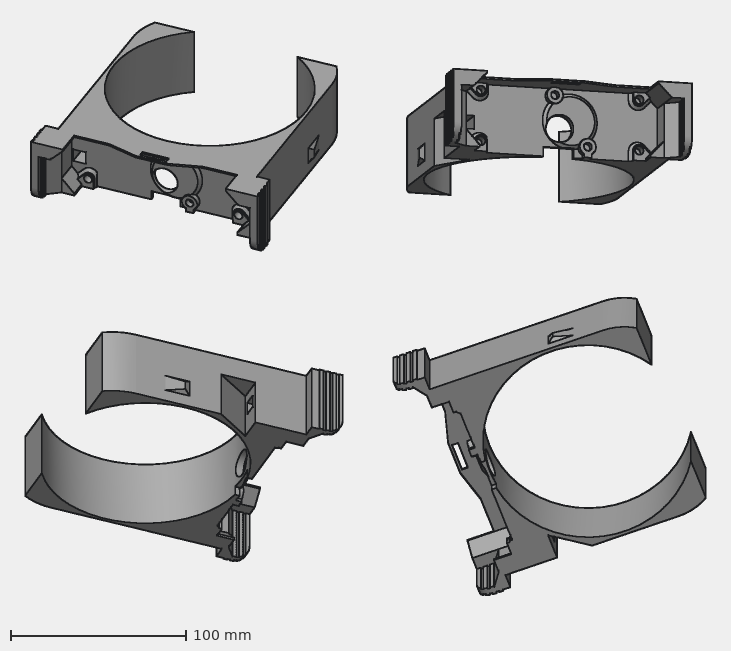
import cadquery as cq
import math

LENGTH = 143.1
HEIGHT = 41.0
BODY_HALF_WIDTH = 62.0
BODY_FRONT_Y = 16.2
TAIL_ARC_START_Y = 124.5
TAIL_HALF_WIDTH = 56.7

BORE_RADIUS = 60.0
BORE_CENTER_Y = 92.5

LIP_THICKNESS = 1.1
CAVITY_HALF_WIDTH = 58.7
CAVITY_BACK_Y = 30.3
CORNER_HALF_WIDTH = 50.8
UPPER_CORNER_Z = 31.9
LOWER_CORNER_Z = 9.7
GUSSET_EDGE_HEIGHT = 1.5
CAVITY_TOP_Z = HEIGHT - LIP_THICKNESS

FOOT_BACK_Y = 19.0
FOOT_OUTER_X = 70.0
FOOT_INNER_X = 66.7
FOOT_SLANT_END_Y = 10.5
FOOT_NOSE_RADIUS = 9.7
RIB_HEIGHT = 0.7
FOOT_TIP_X = FOOT_OUTER_X + RIB_HEIGHT
RIB_WIDTH = 2.5
RIB_PITCH = 4.0
OUTER_RIB_COUNT = 4
INNER_RIB_COUNT = 3

BULGE_FRONT_Y = 10.9
BULGE_ROOT_HALF_WIDTH = 29.2
BULGE_TIP_HALF_WIDTH = 10.0
LIP_SLOT_HALF_WIDTH = 8.2
LIP_SLOT_FRONT_Y = 12.6

DISK_X = 6.7
DISK_Z = 21.0
DISK_RADIUS = 16.2
DISK_HEIGHT = 2.0
LENS_HOLE_DIAMETER = 16.0
LENS_HOLE_X = 0.3
LENS_HOLE_Z = 16.5
NOTCH_HALF_WIDTH = 9.0
NOTCH_HEIGHT = 5.6

BOSS_HEIGHT = 3.6
CORNER_BOSS_X = 47.0
CORNER_BOSS_LOW_Z = 6.0
CORNER_BOSS_HIGH_Z = 35.6
CORNER_BOSS_RADIUS = 5.5
BOSS_FOOT_HEIGHT = 2.0
BOSS_TRIM_OFFSET = 4.3
CORNER_HOLE_DIAMETER = 5.0
CORNER_HOLE_DEPTH = 7.2
ROUND_BOSS_DIAMETER = 9.6
ROUND_HOLE_DIAMETER = 4.7
ROUND_HOLE_DEPTH = 4.3
HIGH_ROUND_BOSS = (-3.0, 35.4)
LOW_ROUND_BOSS = (16.5, 6.3)
BOSS_STEM_HALF_WIDTH = 2.3

CLIP_FRONT_Y = 91.2
CLIP_RIDGE_Y = 94.9
CLIP_BACK_Y = 106.3
CLIP_BOTTOM_Z = 7.3
CLIP_TOP_Z = 17.3
CLIP_HEIGHT = 2.3
CLIP_SIDE_INSET = 2.5

POCKET_FRONT_Y = 50.5
POCKET_BACK_Y = 71.8
POCKET_DEPTH = 14.9
POCKET_TOP_Z = 27.6
CHANNEL_SIDE = 7.9
CHANNEL_X = -53.8
CHANNEL_Z = 17.3

OVERLAP = 0.7


def box(x0, x1, y0, y1, z0, z1):
    return cq.Workplane("XY").box(x1 - x0, y1 - y0, z1 - z0, centered=False).translate((x0, y0, z0))


def front_plane(y):
    """XZ sketch plane at depth y; extrusions run toward -Y."""
    return cq.Workplane("XZ", origin=(0, y, 0))


def both_sides(shape):
    return shape.union(shape.mirror("YZ"))


def make_body():
    inset = BODY_HALF_WIDTH - TAIL_HALF_WIDTH
    rise = LENGTH - TAIL_ARC_START_Y
    radius = (inset**2 + rise**2) / (2 * inset)
    half_angle = math.asin(rise / radius) / 2
    mid_x = BODY_HALF_WIDTH - radius * (1 - math.cos(half_angle))
    mid_y = TAIL_ARC_START_Y + radius * math.sin(half_angle)
    return (
        cq.Workplane("XY")
        .moveTo(-BODY_HALF_WIDTH, BODY_FRONT_Y)
        .lineTo(BODY_HALF_WIDTH, BODY_FRONT_Y)
        .lineTo(BODY_HALF_WIDTH, TAIL_ARC_START_Y)
        .threePointArc((mid_x, mid_y), (TAIL_HALF_WIDTH, LENGTH))
        .lineTo(-TAIL_HALF_WIDTH, LENGTH)
        .threePointArc((-mid_x, mid_y), (-BODY_HALF_WIDTH, TAIL_ARC_START_Y))
        .close()
        .extrude(HEIGHT)
    )


def make_bore():
    return cq.Workplane("XY").center(0, BORE_CENTER_Y).circle(BORE_RADIUS).extrude(HEIGHT)


def make_cavity():
    half_outline = [
        (0, 0),
        (CORNER_HALF_WIDTH, 0),
        (CORNER_HALF_WIDTH, GUSSET_EDGE_HEIGHT),
        (CAVITY_HALF_WIDTH, LOWER_CORNER_Z),
        (CAVITY_HALF_WIDTH, UPPER_CORNER_Z),
        (CORNER_HALF_WIDTH, CAVITY_TOP_Z),
        (0, CAVITY_TOP_Z),
    ]
    depth = CAVITY_BACK_Y - BODY_FRONT_Y
    return both_sides(front_plane(CAVITY_BACK_Y).polyline(half_outline).close().extrude(depth))


def make_foot():
    foot = box(CORNER_HALF_WIDTH, FOOT_OUTER_X, 0, FOOT_BACK_Y, 0, HEIGHT)
    under_slant = (
        front_plane(BODY_FRONT_Y)
        .polyline(
            [
                (CORNER_HALF_WIDTH, 0),
                (CAVITY_HALF_WIDTH, 0),
                (CAVITY_HALF_WIDTH, UPPER_CORNER_Z),
                (CORNER_HALF_WIDTH, CAVITY_TOP_Z),
            ]
        )
        .close()
        .extrude(BODY_FRONT_Y)
    )
    pocket = (
        cq.Workplane("XY")
        .polyline(
            [
                (CAVITY_HALF_WIDTH, 0),
                (FOOT_INNER_X, 0),
                (FOOT_INNER_X, FOOT_SLANT_END_Y),
                (CAVITY_HALF_WIDTH, BODY_FRONT_Y),
            ]
        )
        .close()
        .extrude(UPPER_CORNER_Z)
    )
    foot = foot.cut(under_slant).cut(pocket)
    for index in range(OUTER_RIB_COUNT):
        rib_front = index * RIB_PITCH
        rib_back = rib_front + RIB_WIDTH
        foot = foot.union(box(FOOT_OUTER_X - OVERLAP, FOOT_TIP_X, rib_front, rib_back, 0, HEIGHT))
        if index < INNER_RIB_COUNT:
            inner_tip_x = FOOT_INNER_X - RIB_HEIGHT
            foot = foot.union(
                box(inner_tip_x, FOOT_INNER_X + OVERLAP, rib_front, rib_back, 0, UPPER_CORNER_Z)
            )
    return foot.cut(make_nose_corner())


def make_nose_corner():
    """Material outside the rounded lower front edge of a foot."""
    rounding = (
        cq.Workplane("YZ")
        .center(FOOT_NOSE_RADIUS, FOOT_NOSE_RADIUS)
        .circle(FOOT_NOSE_RADIUS)
        .extrude(FOOT_TIP_X)
    )
    return box(0, FOOT_TIP_X, 0, FOOT_NOSE_RADIUS, 0, FOOT_NOSE_RADIUS).cut(rounding)


def make_bulge():
    return (
        cq.Workplane("XY", origin=(0, 0, CAVITY_TOP_Z))
        .polyline(
            [
                (-BULGE_ROOT_HALF_WIDTH, BODY_FRONT_Y),
                (-BULGE_TIP_HALF_WIDTH, BULGE_FRONT_Y),
                (BULGE_TIP_HALF_WIDTH, BULGE_FRONT_Y),
                (BULGE_ROOT_HALF_WIDTH, BODY_FRONT_Y),
            ]
        )
        .close()
        .extrude(LIP_THICKNESS)
    )


def make_lip_slot():
    return box(
        -LIP_SLOT_HALF_WIDTH, LIP_SLOT_HALF_WIDTH, LIP_SLOT_FRONT_Y, BODY_FRONT_Y, CAVITY_TOP_Z, HEIGHT
    )


def make_disk():
    return (
        front_plane(CAVITY_BACK_Y)
        .center(DISK_X, DISK_Z)
        .circle(DISK_RADIUS)
        .extrude(DISK_HEIGHT, taper=45)
    )


def corner_boss_outline(radius, z, outward):
    """Round end about the +X screw, opening toward the cavity corner along X and outward along Z."""
    reach = 4 * CORNER_BOSS_RADIUS
    diagonal = radius * math.sqrt(0.5)
    half_sweep = math.radians(135) / 2
    arc_middle = (-radius * math.cos(half_sweep), -outward * radius * math.sin(half_sweep))
    return (
        front_plane(CAVITY_BACK_Y)
        .center(CORNER_BOSS_X, z)
        .moveTo(-radius, outward * reach)
        .lineTo(-radius, 0)
        .threePointArc(arc_middle, (diagonal, -outward * diagonal))
        .lineTo(diagonal + reach, outward * (reach - diagonal))
        .lineTo(diagonal + reach, outward * reach)
        .close()
    )


def make_corner_boss(z, outward):
    """Boss at +X with a 45 degree foot; outward is +1 for an upper boss and -1 for a lower one."""
    foot = corner_boss_outline(CORNER_BOSS_RADIUS, z, outward)
    top_radius = CORNER_BOSS_RADIUS - BOSS_FOOT_HEIGHT
    post = corner_boss_outline(top_radius, z, outward)
    return foot.extrude(BOSS_FOOT_HEIGHT, taper=45).union(post.extrude(BOSS_HEIGHT))


def make_boss_trim():
    """Flat taken off the inner side of the lower -X corner boss."""
    return box(
        -CORNER_BOSS_X + BOSS_TRIM_OFFSET,
        -CORNER_BOSS_X + CORNER_BOSS_RADIUS,
        CAVITY_BACK_Y - BOSS_HEIGHT,
        CAVITY_BACK_Y,
        0,
        CORNER_BOSS_LOW_Z + CORNER_BOSS_RADIUS,
    )


def make_round_boss(x, z):
    return front_plane(CAVITY_BACK_Y).center(x, z).circle(ROUND_BOSS_DIAMETER / 2).extrude(BOSS_HEIGHT)


def make_boss_stem(x, z):
    """Stem from a round boss down to the bottom, with 45 degree shoulders tangent to the boss."""
    tangent = ROUND_BOSS_DIAMETER / 2 * math.sqrt(0.5)
    half = BOSS_STEM_HALF_WIDTH
    shoulder = half - 2 * tangent
    return (
        front_plane(CAVITY_BACK_Y)
        .center(x, z)
        .polyline(
            [
                (-tangent, -tangent),
                (tangent, -tangent),
                (half, shoulder),
                (half, -z),
                (-half, -z),
                (-half, shoulder),
            ]
        )
        .close()
        .extrude(BOSS_HEIGHT)
    )


def make_screw_hole(x, z, diameter, depth):
    return front_plane(CAVITY_BACK_Y - BOSS_HEIGHT).center(x, z).circle(diameter / 2).extrude(-depth)


def make_lens_hole():
    return (
        front_plane(BORE_CENTER_Y)
        .center(LENS_HOLE_X, LENS_HOLE_Z)
        .circle(LENS_HOLE_DIAMETER / 2)
        .extrude(BORE_CENTER_Y - BODY_FRONT_Y)
    )


def make_notch():
    return box(-NOTCH_HALF_WIDTH, NOTCH_HALF_WIDTH, BODY_FRONT_Y, BORE_CENTER_Y, 0, NOTCH_HEIGHT)


def make_clip():
    side_profile = (
        cq.Workplane("XY")
        .polyline(
            [
                (BODY_HALF_WIDTH, CLIP_FRONT_Y),
                (BODY_HALF_WIDTH + CLIP_HEIGHT, CLIP_RIDGE_Y),
                (BODY_HALF_WIDTH, CLIP_BACK_Y),
            ]
        )
        .close()
        .extrude(HEIGHT)
    )
    end_profile = (
        front_plane(CLIP_BACK_Y)
        .polyline(
            [
                (BODY_HALF_WIDTH, CLIP_BOTTOM_Z),
                (BODY_HALF_WIDTH + CLIP_HEIGHT, CLIP_BOTTOM_Z + CLIP_SIDE_INSET),
                (BODY_HALF_WIDTH + CLIP_HEIGHT, CLIP_TOP_Z - CLIP_SIDE_INSET),
                (BODY_HALF_WIDTH, CLIP_TOP_Z),
            ]
        )
        .close()
        .extrude(CLIP_BACK_Y - CLIP_FRONT_Y)
    )
    return side_profile.intersect(end_profile)


def make_wedge_pocket():
    return (
        cq.Workplane("XY")
        .polyline(
            [
                (-BODY_HALF_WIDTH, POCKET_FRONT_Y),
                (-BODY_HALF_WIDTH + POCKET_DEPTH, POCKET_FRONT_Y),
                (-BODY_HALF_WIDTH, POCKET_BACK_Y),
            ]
        )
        .close()
        .extrude(POCKET_TOP_Z)
    )


def make_channel():
    half = CHANNEL_SIDE / 2
    return box(
        CHANNEL_X - half,
        CHANNEL_X + half,
        CAVITY_BACK_Y,
        POCKET_FRONT_Y,
        CHANNEL_Z - half,
        CHANNEL_Z + half,
    )


cavity = make_cavity()
result = make_body().cut(make_bore())
result = result.union(both_sides(make_foot())).cut(cavity)
result = result.union(make_bulge()).cut(make_lip_slot())

wall_bosses = make_disk()
wall_bosses = wall_bosses.union(make_round_boss(*HIGH_ROUND_BOSS))
wall_bosses = wall_bosses.union(make_round_boss(*LOW_ROUND_BOSS))
wall_bosses = wall_bosses.union(make_boss_stem(*LOW_ROUND_BOSS))
for boss_z, boss_outward in ((CORNER_BOSS_LOW_Z, -1), (CORNER_BOSS_HIGH_Z, 1)):
    wall_bosses = wall_bosses.union(both_sides(make_corner_boss(boss_z, boss_outward)))
wall_bosses = wall_bosses.cut(make_boss_trim())
result = result.union(wall_bosses.intersect(cavity))

for hole_x in (-CORNER_BOSS_X, CORNER_BOSS_X):
    for hole_z in (CORNER_BOSS_LOW_Z, CORNER_BOSS_HIGH_Z):
        result = result.cut(make_screw_hole(hole_x, hole_z, CORNER_HOLE_DIAMETER, CORNER_HOLE_DEPTH))
for hole_x, hole_z in (HIGH_ROUND_BOSS, LOW_ROUND_BOSS):
    result = result.cut(make_screw_hole(hole_x, hole_z, ROUND_HOLE_DIAMETER, ROUND_HOLE_DEPTH))
result = result.cut(make_lens_hole()).cut(make_notch())

result = result.union(both_sides(make_clip()))
result = result.cut(make_wedge_pocket()).cut(make_channel())